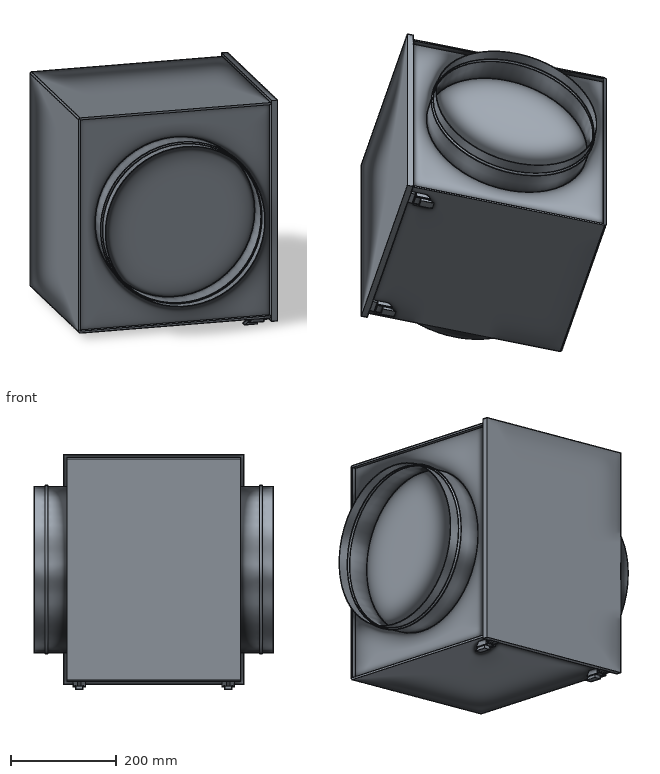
import cadquery as cq

overall_length = 452.0
overall_height = 443.5

housing_width = 328.0
housing_height = 423.0
housing_front = -192.0
front_chamfer = 3.0

panel_depth = 8.0
panel_frame = 4.0

lid_width = 340.0
lid_height = 434.0
lid_back = 198.0
lid_thickness = 11.8

collar_radius = 157.5
collar_wall = 1.0
bead_rise = 2.5
bead_width = 6.0
bead_offset = 23.5

latch_spacing = 281.0
latch_body_width = 23.5
latch_cheek_width = 3.0
latch_slot_width = 6.0
latch_lever_width = 13.5
catch_length = 8.5
catch_thickness = 4.5
latch_gap = 2.0
link_thickness = 2.0
body_drop = 8.0
cheek_drop = 10.0
body_top_length = 21.2
body_slope_run = 7.0
lever_start = 21.0
lever_length = 17.0
tip_length = 8.5

lid_front = lid_back - lid_thickness
housing_bottom = -housing_height / 2
panel_x = housing_width / 2 - panel_depth
panel_front = housing_front + panel_frame
panel_height = housing_height - 2 * panel_frame
collar_end = overall_length / 2
latch_drop = overall_height - lid_height / 2 - housing_height / 2


def make_box_shell():
    """Housing box with chamfered front edges, joined to the lid plate."""
    box = (
        cq.Workplane("XY")
        .box(housing_width, lid_front - housing_front, housing_height)
        .translate((0, (lid_front + housing_front) / 2, 0))
        .edges("<Y and |X")
        .chamfer(front_chamfer)
    )
    lid = (
        cq.Workplane("XY")
        .box(lid_width, lid_thickness, lid_height)
        .translate((0, lid_front + lid_thickness / 2, 0))
    )
    return box.union(lid)


def make_panel_recess(side):
    """Shallow pocket in one side; it reaches back to the lid."""
    return (
        cq.Workplane("XY")
        .box(panel_depth, lid_front - panel_front, panel_height)
        .translate((side * (panel_x + panel_depth / 2), (lid_front + panel_front) / 2, 0))
    )


def make_collar(side):
    """Thin tube whose wall bulges outwards at the bead, turned about X."""
    bead_peak = collar_end - bead_offset
    bead_outer = bead_peak + bead_width / 2
    bead_inner = bead_peak - bead_width / 2
    inner_radius = collar_radius - collar_wall
    collar = (
        cq.Workplane("XY")
        .moveTo(panel_x, inner_radius)
        .lineTo(bead_inner, inner_radius)
        .threePointArc((bead_peak, inner_radius + bead_rise), (bead_outer, inner_radius))
        .lineTo(collar_end, inner_radius)
        .lineTo(collar_end, collar_radius)
        .lineTo(bead_outer, collar_radius)
        .threePointArc((bead_peak, collar_radius + bead_rise), (bead_inner, collar_radius))
        .lineTo(panel_x, collar_radius)
        .close()
        .revolve(360, (0, 0, 0), (1, 0, 0))
    )
    return collar if side > 0 else collar.mirror("YZ")


def make_housing():
    housing = make_box_shell()
    for side in (-1, 1):
        housing = housing.cut(make_panel_recess(side))
        housing = housing.union(make_collar(side))
    return housing


def extrude_latch_profile(points, width):
    """Extrude a profile along X, centred; points are (distance in front of the lid, drop)."""
    outline = [(lid_front - ahead, housing_bottom - drop) for ahead, drop in points]
    return cq.Workplane("YZ").polyline(outline).close().extrude(width / 2, both=True)


def make_latch_body():
    """Wedge-ended block with a deeper cheek on each side and a slot down the middle of the wedge."""
    body_start = catch_length + latch_gap
    body_end = body_start + body_top_length
    body = extrude_latch_profile(
        [
            (body_start, 0),
            (body_end, 0),
            (body_end + body_slope_run, cheek_drop),
            (body_start, cheek_drop),
        ],
        latch_body_width,
    )
    underside = extrude_latch_profile(
        [
            (body_start, body_drop),
            (body_end + body_slope_run, body_drop),
            (body_end + body_slope_run, cheek_drop),
            (body_start, cheek_drop),
        ],
        latch_body_width - 2 * latch_cheek_width,
    )
    slot = extrude_latch_profile(
        [
            (body_end, 0),
            (body_end + body_slope_run, 0),
            (body_end + body_slope_run, body_drop),
            (body_end, body_drop),
        ],
        latch_slot_width,
    )
    return body.cut(underside).cut(slot)


def make_latch_catch():
    """Pad against the front of the lid, with a thin link to the latch body."""
    link_end = catch_length + latch_gap
    link_drop = catch_thickness + link_thickness
    return extrude_latch_profile(
        [
            (0, 0),
            (catch_length, 0),
            (catch_length, catch_thickness),
            (link_end, catch_thickness),
            (link_end, link_drop),
            (catch_length, link_drop),
            (0, catch_thickness),
        ],
        latch_body_width,
    )


def make_latch_lever():
    """Narrow lever under the body, drawn out to a point at the front."""
    lever_end = lever_start + lever_length
    return extrude_latch_profile(
        [
            (lever_start, body_drop),
            (lever_end, body_drop),
            (lever_end + tip_length, latch_drop),
            (lever_start, latch_drop),
        ],
        latch_lever_width,
    )


def make_latch(x):
    latch = make_latch_body().union(make_latch_catch()).union(make_latch_lever())
    return latch.translate((x, 0, 0))


housing = make_housing()
latches = [make_latch(side * latch_spacing / 2) for side in (-1, 1)]

result = cq.Compound.makeCompound([housing.val(), *[latch.val() for latch in latches]])